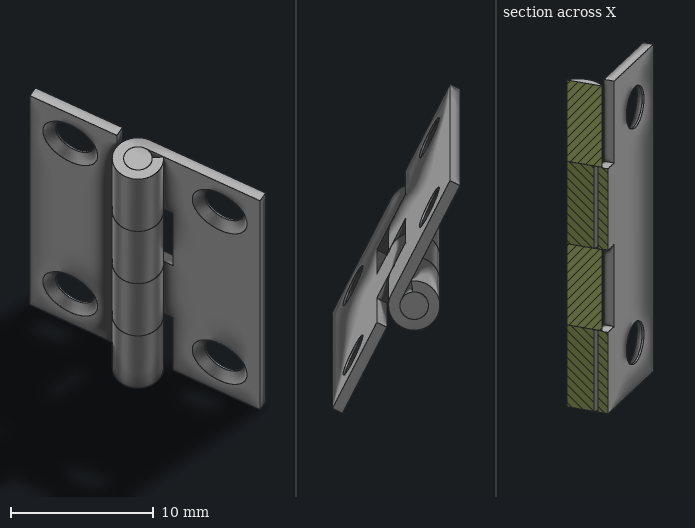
import cadquery as cq
import math

height = 25.0
width = 18.5
barrel_diameter = 3.6
pin_diameter = 2.0
knuckle_count = 4
curl_end_degrees = 33.0
notch_clearance = 0.45
hole_offset_x = 6.0
hole_offset_z = 9.0
hole_diameter = 3.1
countersink_diameter = 4.4
countersink_angle = 90.0

barrel_radius = barrel_diameter / 2
pin_radius = pin_diameter / 2
knuckle_length = height / knuckle_count
plate_inner_x = barrel_radius + notch_clearance
plate_front_y = pin_radius
plate_back_y = barrel_radius
curl_end_angle = math.radians(curl_end_degrees)


def polar(radius, angle):
    """Point at the given radius and angle (radians) about the pin axis."""
    return radius * math.cos(angle), radius * math.sin(angle)


def make_plate():
    """Flat part of the right-hand leaf, outside the knuckle notches."""
    return (
        cq.Workplane("XY")
        .workplane(offset=-height / 2)
        .moveTo(plate_inner_x, plate_front_y)
        .lineTo(width / 2, plate_front_y)
        .lineTo(width / 2, plate_back_y)
        .lineTo(plate_inner_x, plate_back_y)
        .close()
        .extrude(height)
    )


def make_knuckle(bottom_z):
    """Strip that leaves the plate and curls around the pin, open at the curl end."""
    return (
        cq.Workplane("XY")
        .workplane(offset=bottom_z)
        .moveTo(plate_inner_x, plate_back_y)
        .lineTo(0, barrel_radius)
        .threePointArc((0, -barrel_radius), polar(barrel_radius, curl_end_angle))
        .lineTo(*polar(pin_radius, curl_end_angle))
        .threePointArc((0, -pin_radius), (0, pin_radius))
        .lineTo(plate_inner_x, plate_front_y)
        .close()
        .extrude(knuckle_length)
    )


def make_leaf():
    """Right-hand leaf, holding the top knuckle and every second one below it."""
    leaf = make_plate()
    for index in range(1, knuckle_count, 2):
        leaf = leaf.union(make_knuckle(-height / 2 + index * knuckle_length))
    return (
        leaf.copyWorkplane(cq.Workplane("XZ", origin=(0, plate_front_y, 0)))
        .pushPoints([(hole_offset_x, -hole_offset_z), (hole_offset_x, hole_offset_z)])
        .cskHole(hole_diameter, countersink_diameter, countersink_angle)
    )


def make_pin():
    return cq.Workplane("XY").circle(pin_radius).extrude(height / 2, both=True)


right_leaf = make_leaf()
left_leaf = right_leaf.rotate((0, 0, 0), (0, 1, 0), 180)
pin = make_pin()

result = cq.Compound.makeCompound([right_leaf.val(), left_leaf.val(), pin.val()])